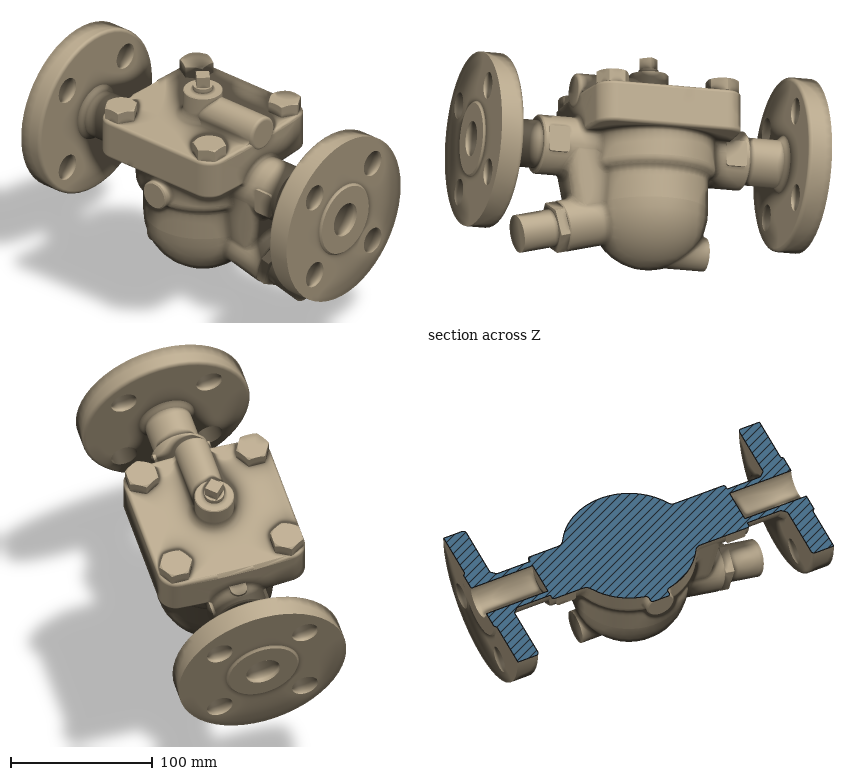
import cadquery as cq
import math

BODY_X = -7.5
TOP_Z = 68.5

FACE_X = 125.0
RAISED_HEIGHT = 1.6
RAISED_FACE_DIA = 51.0
RAISED_BASE_DIA = 54.0
FLANGE_DIA = 124.0
FLANGE_THICKNESS = 16.9
FLANGE_FILLET = 2.5
HUB_DIA = 41.0
HUB_LENGTH = 3.6
PIPE_DIA = 34.0
BORE_DIA = 25.0
BOLT_HOLE_DIA = 19.0
BOLT_CIRCLE_DIA = 89.0

SOCKET_DIA = 42.0
SOCKET_END_X = 77.0
SOCKET_CHAMFER = 1.0
PAD_X = 66.2
PAD_LENGTH = 15.2
PAD_HEIGHT = 18.5
PAD_CORNER = 2.0
TAB_END_X = -72.0
TAB_WIDTH = 12.0
TAB_TOP_Z = 22.6

BOLT_PITCH = 82.0
CORNER_RADIUS = 13.0
SIDE_BOW = 1.4
PLATE_BOTTOM_Z = 8.0
PLATE_TOP_Z = 37.4
PLATE_FILLET = 2.4

BOLT_FLATS = 21.0
BOLT_HEAD_HEIGHT = 8.9
BOLT_TIP_DIA = 21.0
BOLT_TIP_DROP = 0.9

VESSEL_RADIUS = 42.2
VESSEL_BOTTOM_Z = -84.0
VESSEL_TOP_Z = 23.0
SPHERE_Z = VESSEL_BOTTOM_Z + VESSEL_RADIUS
BAND_RADIUS = 47.5
BAND_LOW_Z = -12.2
BAND_ROUND = 6.8
BAND_FOOT_Z = -22.0

STEM_BOSS_DIA = 28.0
STEM_BOSS_TOP_Z = 56.7
STEM_BOSS_FILLET = 5.0
STEM_BOSS_CHAMFER = 0.6
STEM_COLLAR_DIA = 14.0
STEM_COLLAR_TOP_Z = 60.2
STEM_SQUARE = 9.5

DUCT_DIA = 25.0
DUCT_TOP_Z = 53.6
DUCT_END_X = 48.6
DUCT_END_FILLET = 2.4
DUCT_FOOT_FILLET = 2.7

SIDE_PLUG_Z = -7.3
SIDE_PLUG_DIA = 21.0
SIDE_PLUG_FILLET = 2.0
SIDE_PLUG_FACE_Y = -53.0
SIDE_PLUG_CHAMFER = 1.0

DRAIN_DIA = 24.0
DRAIN_Z = -70.4
DRAIN_FACE_X = -49.2
DRAIN_FILLET = 2.5

BRANCH_ANGLE = 14.2
BRANCH_DIA = 36.6
BRANCH_CHAMFER = 0.8
BRANCH_END = 68.0
HEX_END = 75.0
HEX_FLATS = 32.0
HEX_LIMIT_DIA = 36.8
SCREEN_PLUG_DIA = 27.0
SCREEN_PLUG_END = 101.2

WALL_TOP_Z = -3.0
WALL_TOP_X = 59.0
WALL_TOP_HALF_WIDTH = 20.5
WALL_BOTTOM_Z = -52.0
WALL_BOTTOM_X = 51.0
WALL_BOTTOM_HALF_WIDTH = 16.0
WALL_CORNER = 8.0

CASTING_FILLET = 4.0
SOCKET_FILLET = 5.0
RIB_FILLET = 5.0
PLATE_FOOT_FILLET = 2.0

SURFACE_TOLERANCE = 0.001


def cylinder_z(diameter, bottom, top, x=BODY_X):
    """Upright cylinder between two heights."""
    return cq.Workplane("XY", origin=(x, 0, bottom)).circle(diameter / 2).extrude(top - bottom)


def pipe_end():
    """Flanged pipe on the -X side, with its raised face, hub and blind bore."""
    flange_face = FACE_X - RAISED_HEIGHT
    flange_back = flange_face - FLANGE_THICKNESS
    profile = [
        (-FACE_X, 0),
        (-FACE_X, RAISED_FACE_DIA / 2),
        (-flange_face, RAISED_BASE_DIA / 2),
        (-flange_face, FLANGE_DIA / 2),
        (-flange_back, FLANGE_DIA / 2),
        (-flange_back, HUB_DIA / 2),
        (-flange_back + HUB_LENGTH, PIPE_DIA / 2),
        (-SOCKET_END_X, PIPE_DIA / 2),
        (-SOCKET_END_X, 0),
    ]
    body = cq.Workplane("XY").polyline(profile).close().revolve(360, (0, 0, 0), (1, 0, 0))
    rim = cq.selectors.BoxSelector(
        (-flange_back - SURFACE_TOLERANCE, -FLANGE_DIA, -FLANGE_DIA),
        (-flange_back + SURFACE_TOLERANCE, FLANGE_DIA, FLANGE_DIA),
    )
    body = body.edges(rim).edges(cq.selectors.RadiusNthSelector(-1)).fillet(FLANGE_FILLET)
    hole_pitch = BOLT_CIRCLE_DIA / math.sqrt(2)
    holes = (
        cq.Workplane("YZ", origin=(-FACE_X, 0, 0))
        .rect(hole_pitch, hole_pitch, forConstruction=True)
        .vertices()
        .circle(BOLT_HOLE_DIA / 2)
        .extrude(FACE_X - flange_back)
    )
    bore = cq.Workplane("YZ", origin=(-FACE_X, 0, 0)).circle(BORE_DIA / 2).extrude(FACE_X - SOCKET_END_X)
    return body.cut(holes).cut(bore)


def barrel():
    """Round body along X whose ends are the pipe sockets."""
    body = cq.Workplane("YZ", origin=(-SOCKET_END_X, 0, 0)).circle(SOCKET_DIA / 2)
    return body.extrude(2 * SOCKET_END_X).faces("<X or >X").chamfer(SOCKET_CHAMFER)


def socket_details():
    """Wrench pads at both sockets and a tab on top of the inlet socket."""
    details = cq.Workplane("XY")
    for x in (-PAD_X, PAD_X):
        pad = cq.Workplane("XY").box(PAD_LENGTH, SOCKET_DIA, PAD_HEIGHT)
        details = details.union(pad.edges("|Y").fillet(PAD_CORNER).translate((x, 0, 0)))
    tab_end = TAB_END_X + TAB_WIDTH / 2
    tab = cylinder_z(TAB_WIDTH, 0, TAB_TOP_Z, tab_end)
    tail = cq.Workplane("XY").box(TAB_WIDTH, TAB_WIDTH, TAB_TOP_Z, centered=(False, True, False))
    return details.union(tab).union(tail.translate((tab_end, 0, 0)))


def plate():
    """Cover and body flange as one plate with corners concentric with the bolts."""
    half_pitch = BOLT_PITCH / 2
    edge = half_pitch + CORNER_RADIUS
    diagonal = half_pitch + CORNER_RADIUS / math.sqrt(2)
    outline = (
        cq.Workplane("XY", origin=(BODY_X, 0, PLATE_BOTTOM_Z))
        .moveTo(-half_pitch, -edge)
        .lineTo(half_pitch, -edge)
        .threePointArc((diagonal, -diagonal), (edge, -half_pitch))
        .threePointArc((edge + SIDE_BOW, 0), (edge, half_pitch))
        .threePointArc((diagonal, diagonal), (half_pitch, edge))
        .lineTo(-half_pitch, edge)
        .threePointArc((-diagonal, diagonal), (-edge, half_pitch))
        .threePointArc((-edge - SIDE_BOW, 0), (-edge, -half_pitch))
        .threePointArc((-diagonal, -diagonal), (-half_pitch, -edge))
        .close()
    )
    block = outline.extrude(PLATE_TOP_Z - PLATE_BOTTOM_Z)
    return block.faces("<Z or >Z").edges().fillet(PLATE_FILLET)


def cap_bolts():
    """Four hexagon heads, turned a quarter turn between neighbours."""
    half_pitch = BOLT_PITCH / 2
    corner_radius = BOLT_FLATS / math.sqrt(3)
    tip_radius = BOLT_TIP_DIA / 2
    limit_profile = [
        (0, 0),
        (corner_radius, 0),
        (corner_radius, BOLT_HEAD_HEIGHT - BOLT_TIP_DROP),
        (tip_radius, BOLT_HEAD_HEIGHT),
        (0, BOLT_HEAD_HEIGHT),
    ]
    limit = cq.Workplane("XZ").polyline(limit_profile).close().revolve(360, (0, 0, 0), (0, 1, 0))
    head = cq.Workplane("XY").polygon(6, 2 * corner_radius).extrude(BOLT_HEAD_HEIGHT).intersect(limit)
    heads = cq.Workplane("XY")
    for side_x in (-1, 1):
        for side_y in (-1, 1):
            turn = 0 if side_x == side_y else 90
            turned = head.rotate((0, 0, 0), (0, 0, 1), turn)
            place = (BODY_X + side_x * half_pitch, side_y * half_pitch, PLATE_TOP_Z)
            heads = heads.union(turned.translate(place))
    return heads


def vessel():
    """Upper band, necked by an S-curve to a cylinder that a hemisphere closes."""
    slant = math.sqrt(0.5)
    round_center = BAND_RADIUS - BAND_ROUND
    offset = VESSEL_RADIUS - round_center
    drop = BAND_LOW_Z - BAND_FOOT_Z
    hollow = (offset**2 + drop**2 - BAND_ROUND**2) / (2 * (BAND_ROUND - offset))
    share = BAND_ROUND / (BAND_ROUND + hollow)
    join = (round_center + share * (offset + hollow), BAND_LOW_Z - share * drop)
    profile = (
        cq.Workplane("XZ", origin=(BODY_X, 0, 0))
        .moveTo(0, VESSEL_BOTTOM_Z)
        .threePointArc((VESSEL_RADIUS * slant, SPHERE_Z - VESSEL_RADIUS * slant), (VESSEL_RADIUS, SPHERE_Z))
        .lineTo(VESSEL_RADIUS, BAND_FOOT_Z)
        .tangentArcPoint(join, relative=False)
        .tangentArcPoint((BAND_RADIUS, BAND_LOW_Z), relative=False)
        .lineTo(BAND_RADIUS, VESSEL_TOP_Z)
        .lineTo(0, VESSEL_TOP_Z)
        .close()
    )
    return profile.revolve(360, (0, 0, 0), (0, 1, 0))


def stem():
    """Boss with a flared foot, round collar and square spindle turned by 45 degrees."""
    boss_radius = STEM_BOSS_DIA / 2
    flare = boss_radius + STEM_BOSS_FILLET
    bend = STEM_BOSS_FILLET * (1 - math.sqrt(0.5))
    profile = (
        cq.Workplane("XZ", origin=(BODY_X, 0, PLATE_TOP_Z))
        .lineTo(flare, 0)
        .threePointArc((boss_radius + bend, bend), (boss_radius, STEM_BOSS_FILLET))
        .lineTo(boss_radius, STEM_BOSS_TOP_Z - PLATE_TOP_Z)
        .lineTo(0, STEM_BOSS_TOP_Z - PLATE_TOP_Z)
        .close()
    )
    boss = profile.revolve(360, (0, 0, 0), (0, 1, 0)).faces(">Z").chamfer(STEM_BOSS_CHAMFER)
    collar = cylinder_z(STEM_COLLAR_DIA, STEM_BOSS_TOP_Z, STEM_COLLAR_TOP_Z)
    spindle = cq.Workplane("XY").rect(STEM_SQUARE, STEM_SQUARE).extrude(TOP_Z - STEM_COLLAR_TOP_Z)
    spindle = spindle.rotate((0, 0, 0), (0, 0, 1), 45).translate((BODY_X, 0, STEM_COLLAR_TOP_Z))
    return boss.union(collar).union(spindle)


def cover_duct():
    """Round duct on the cover, with a spreading foot along both sides."""
    radius = DUCT_DIA / 2
    length = DUCT_END_X - BODY_X
    axis_z = DUCT_TOP_Z - radius
    duct = cq.Workplane("YZ", origin=(BODY_X, 0, axis_z)).circle(radius).extrude(length)
    duct = duct.faces(">X").edges().fillet(DUCT_END_FILLET)
    base_z = PLATE_TOP_Z - PLATE_FILLET
    foot = radius + DUCT_FOOT_FILLET
    bend = DUCT_FOOT_FILLET * (1 - math.sqrt(0.5))
    skirt = (
        cq.Workplane("YZ", origin=(BODY_X, 0, PLATE_TOP_Z))
        .moveTo(-foot, base_z - PLATE_TOP_Z)
        .lineTo(foot, base_z - PLATE_TOP_Z)
        .lineTo(foot, 0)
        .threePointArc((radius + bend, bend), (radius, DUCT_FOOT_FILLET))
        .lineTo(radius, axis_z - PLATE_TOP_Z)
        .lineTo(-radius, axis_z - PLATE_TOP_Z)
        .lineTo(-radius, DUCT_FOOT_FILLET)
        .threePointArc((-radius - bend, bend), (-foot, 0))
        .close()
        .extrude(length - DUCT_END_FILLET)
    )
    return duct.union(skirt)


def side_plug():
    """Round plug facing -Y, with a chamfered rim."""
    plug = cq.Workplane("XZ", origin=(BODY_X, 0, SIDE_PLUG_Z)).circle(SIDE_PLUG_DIA / 2)
    return plug.extrude(-SIDE_PLUG_FACE_Y).faces("<Y").chamfer(SIDE_PLUG_CHAMFER)


def drain_boss():
    """Horizontal boss low on the vessel, facing -X."""
    boss = cq.Workplane("YZ", origin=(DRAIN_FACE_X, 0, DRAIN_Z)).circle(DRAIN_DIA / 2)
    return boss.extrude(BODY_X - DRAIN_FACE_X)


def strainer_branch():
    """Branch, hexagon and plug, built along +X and then tipped down about the hemisphere centre."""
    branch = cq.Workplane("YZ").circle(BRANCH_DIA / 2).extrude(BRANCH_END).faces(">X").chamfer(BRANCH_CHAMFER)
    hex_length = HEX_END - BRANCH_END
    hex_plane = cq.Workplane("YZ", origin=(BRANCH_END, 0, 0))
    nut = hex_plane.polygon(6, 2 * HEX_FLATS / math.sqrt(3)).extrude(hex_length)
    nut = nut.rotate((0, 0, 0), (1, 0, 0), 90)
    limit = hex_plane.circle(HEX_LIMIT_DIA / 2).extrude(hex_length)
    plug = cq.Workplane("YZ").circle(SCREEN_PLUG_DIA / 2).extrude(SCREEN_PLUG_END)
    whole = branch.union(nut.intersect(limit)).union(plug)
    return whole.rotate((0, 0, 0), (0, 1, 0), BRANCH_ANGLE).translate((BODY_X, 0, SPHERE_Z))


def passage_wall():
    """Tapering wall with rounded outer corners, leaning from the socket to the branch."""
    lower = cq.Workplane("XY", origin=(WALL_BOTTOM_X / 2, 0, WALL_BOTTOM_Z))
    wall = (
        lower.rect(WALL_BOTTOM_X, 2 * WALL_BOTTOM_HALF_WIDTH)
        .workplane(offset=WALL_TOP_Z - WALL_BOTTOM_Z)
        .center((WALL_TOP_X - WALL_BOTTOM_X) / 2, 0)
        .rect(WALL_TOP_X, 2 * WALL_TOP_HALF_WIDTH)
        .loft()
    )
    return wall.faces(">X").edges("not |Y").fillet(WALL_CORNER)


def blend(base, addition, radius):
    """Join two bodies and fillet the edges where their surfaces cross."""
    joined = base.union(addition)
    skins = [addition.val().Shells()[0], base.val().Shells()[0]]
    seams = []
    for edge in joined.edges().vals():
        middle = cq.Vertex.makeVertex(*edge.positionAt(0.5).toTuple())
        if all(skin.distance(middle) < SURFACE_TOLERANCE for skin in skins):
            seams.append(edge)
    return joined.newObject(seams).fillet(radius)


def casting():
    """Vessel, barrel and side branches, each junction filleted, under the square plate."""
    bottom = blend(vessel(), strainer_branch(), CASTING_FILLET)
    bottom = blend(bottom, passage_wall(), CASTING_FILLET)
    bottom = blend(bottom, drain_boss(), DRAIN_FILLET)
    bottom = blend(bottom, side_plug(), SIDE_PLUG_FILLET)
    middle = blend(vessel(), barrel(), SOCKET_FILLET)
    rib = blend(barrel(), passage_wall(), RIB_FILLET)
    body = bottom.newObject([bottom.val().fuse(middle.val(), rib.val())])
    return blend(body, plate(), PLATE_FOOT_FILLET)


inlet = pipe_end()
outlet = inlet.mirror("YZ")
result = casting()
for fitting in (socket_details(), cap_bolts(), stem(), cover_duct(), inlet, outlet):
    result = result.union(fitting)